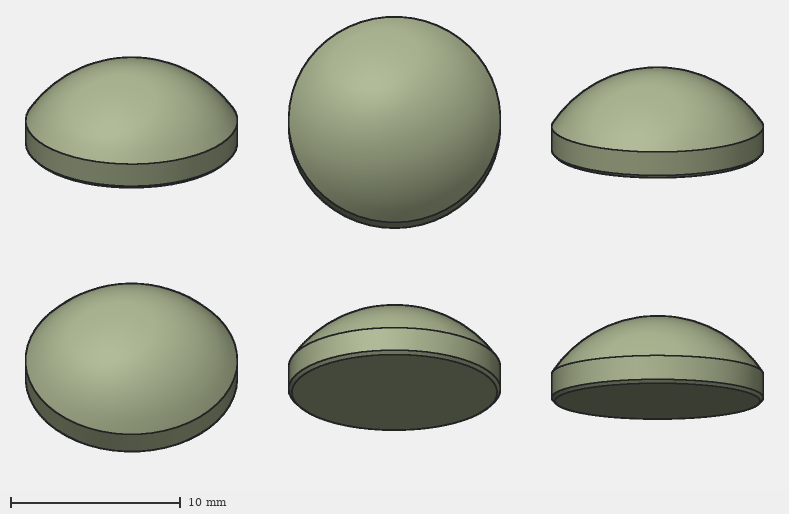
import cadquery as cq
import math

diameter = 12.5
total_height = 5.0
rim_height = 1.62
base_chamfer = 0.2

radius = diameter / 2
dome_height = total_height - rim_height
sphere_radius = (radius**2 + dome_height**2) / (2 * dome_height)
sphere_center_z = total_height - sphere_radius

half_angle = math.asin(radius / sphere_radius) / 2
arc_middle = (
    sphere_radius * math.sin(half_angle),
    sphere_center_z + sphere_radius * math.cos(half_angle),
)

result = (
    cq.Workplane("XZ")
    .moveTo(0, 0)
    .lineTo(radius - base_chamfer, 0)
    .lineTo(radius, base_chamfer)
    .lineTo(radius, rim_height)
    .threePointArc(arc_middle, (0, total_height))
    .close()
    .revolve(360, (0, 0, 0), (0, 1, 0))
)